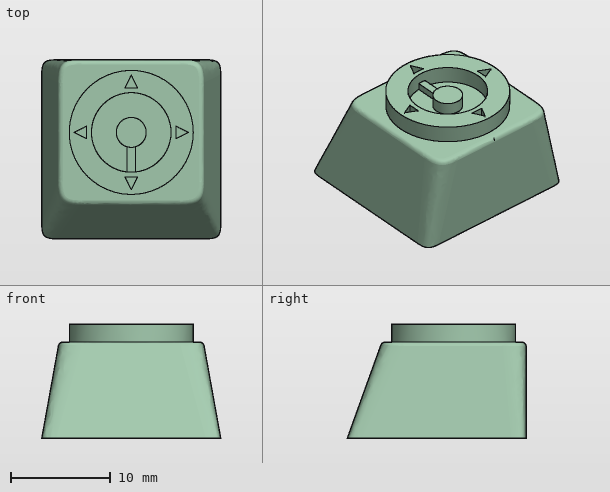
import cadquery as cq

base_side = 18.0
base_corner_length = 1.5
top_side = 14.5
top_corner_length = 2.4
corner_fullness = 0.8
body_height = 9.68
top_edge_radius = 0.5

dial_y = 1.7
ring_height = 1.8
ring_diameter = 12.45
recess_diameter = 8.0

pin_diameter = 3.0
pin_height = 1.3
pointer_width = 0.83
pointer_height = 0.72

arrow_count = 4
arrow_tip_radius = 5.75
arrow_length = 1.26
arrow_width = 1.26
arrow_depth = 0.9


def quarter_turned(point, turns):
    """Turn a point counterclockwise about the origin by a number of quarter turns."""
    x, y = point
    for _ in range(turns):
        x, y = -y, x
    return (x, y)


def rounded_square(side, corner_length, center_y, height):
    """Square wire whose straight sides blend smoothly through the corners."""
    half = side / 2
    blend_start = half - corner_length
    handle_end = blend_start + corner_fullness * corner_length
    corner = [(half, blend_start), (half, handle_end), (handle_end, half), (blend_start, half)]
    outline = cq.Workplane("XY", origin=(0, center_y, height)).moveTo(half, -blend_start)
    for turns in range(4):
        side_end, *curve_points = [quarter_turned(point, turns) for point in corner]
        outline = outline.lineTo(*side_end).bezier(curve_points, includeCurrent=True)
    return outline.wire().val()


def make_body():
    top_y = (base_side - top_side) / 2
    base_outline = rounded_square(base_side, base_corner_length, 0, 0)
    top_outline = rounded_square(top_side, top_corner_length, top_y, body_height)
    body = cq.Workplane(cq.Solid.makeLoft([base_outline, top_outline], True))
    return body.faces(">Z").edges().fillet(top_edge_radius)


def dial_plane(height):
    """Workplane centred on the dial, at a height above the body top."""
    return cq.Workplane("XY", origin=(0, dial_y, body_height + height))


def make_ring():
    ring = dial_plane(0).circle(ring_diameter / 2).circle(recess_diameter / 2).extrude(ring_height)
    arrow_base_radius = arrow_tip_radius - arrow_length
    arrow = (
        dial_plane(ring_height)
        .moveTo(arrow_tip_radius, 0)
        .lineTo(arrow_base_radius, arrow_width / 2)
        .lineTo(arrow_base_radius, -arrow_width / 2)
        .close()
        .extrude(-arrow_depth)
    )
    for index in range(arrow_count):
        angle = index * 360 / arrow_count
        ring = ring.cut(arrow.rotate((0, dial_y, 0), (0, dial_y, 1), angle))
    return ring


def make_pin():
    return dial_plane(0).circle(pin_diameter / 2).extrude(pin_height)


def make_pointer():
    """Rib from the pin to the front of the recess."""
    recess_radius = recess_diameter / 2
    return (
        dial_plane(0)
        .center(0, -recess_radius / 2)
        .rect(pointer_width, recess_radius)
        .extrude(pointer_height)
    )


result = make_body().union(make_ring()).union(make_pin()).union(make_pointer())